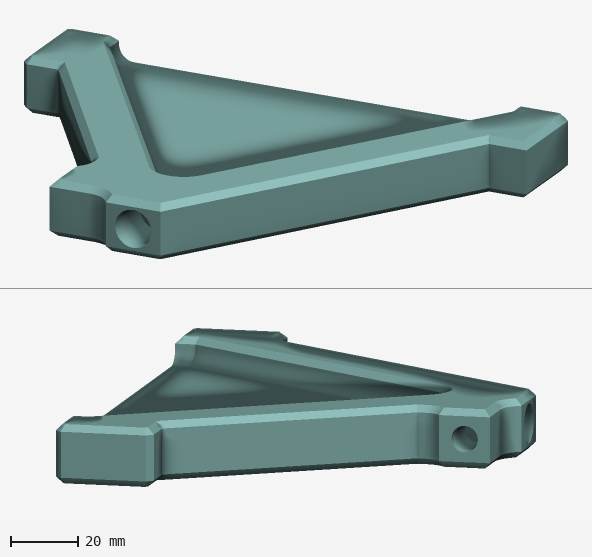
import cadquery as cq
import math

width = 168.0
length = 125.0
thickness = 18.0
edge_chamfer = 2.0

tab_length = 30.0
tab_shoulder = 12.5

foot_half_width = 9.0
foot_left_x = -30.0
foot_side_length = 15.6
foot_step = 4.5
front_notch_radius = 8.0
front_notch_lip = 1.0

neck_x = -27.2
side_notch_radius = 5.9

pocket_half_width = 66.2
pocket_straight = 6.2
pocket_apex_distance = 106.0
pocket_tip_radius = 8.4
pocket_floor_radius = 5.0
pocket_depth = 8.0

front_hole_diameter = 12.1
side_hole_diameter = 8.0
side_hole_y = -50.2
hole_depth = 16.8

left_x = -width / 2
right_x = width / 2
rear_y = length / 2
front_y = -length / 2
top_z = thickness / 2
tab_front_y = rear_y - tab_length
shoulder_x = right_x - tab_shoulder
arm_slope = (tab_front_y - front_y) / (shoulder_x - foot_half_width)
foot_step_y = front_y + foot_step
foot_top_y = foot_step_y + foot_side_length


def notch_arc_span(radius, depth):
    """Length of a tangent arc along its wall once it has moved sideways by depth."""
    return math.sqrt(radius**2 - (radius - depth) ** 2)


def arc_middle(start, end, center, radius):
    """Point halfway along the short arc from start to end."""
    dx = (start[0] + end[0]) / 2 - center[0]
    dy = (start[1] + end[1]) / 2 - center[1]
    scale = radius / math.hypot(dx, dy)
    return center[0] + dx * scale, center[1] + dy * scale


def make_plate():
    neck_top_y = tab_front_y - arm_slope * (neck_x + shoulder_x)

    side_span = notch_arc_span(side_notch_radius, neck_x - foot_left_x)
    side_start = (neck_x, foot_top_y + side_span)
    side_end = (foot_left_x, foot_top_y)
    side_center = (neck_x - side_notch_radius, side_start[1])
    side_middle = arc_middle(side_start, side_end, side_center, side_notch_radius)

    front_arc_drop = foot_step - front_notch_lip
    front_span = notch_arc_span(front_notch_radius, front_arc_drop)
    lip_run = front_notch_lip * (front_notch_radius - front_arc_drop) / front_span
    front_end = (-foot_half_width - lip_run, front_y + front_notch_lip)
    front_start = (front_end[0] - front_span, foot_step_y)
    front_center = (front_start[0], foot_step_y - front_notch_radius)
    front_middle = arc_middle(front_start, front_end, front_center, front_notch_radius)

    outline = (
        cq.Workplane("XY", origin=(0, 0, -top_z))
        .moveTo(left_x, rear_y)
        .lineTo(left_x, tab_front_y)
        .lineTo(-shoulder_x, tab_front_y)
        .lineTo(neck_x, neck_top_y)
        .lineTo(*side_start)
        .threePointArc(side_middle, side_end)
        .lineTo(foot_left_x, foot_step_y)
        .lineTo(*front_start)
        .threePointArc(front_middle, front_end)
        .lineTo(-foot_half_width, front_y)
        .lineTo(foot_half_width, front_y)
        .lineTo(shoulder_x, tab_front_y)
        .lineTo(right_x, tab_front_y)
        .lineTo(right_x, rear_y)
        .close()
    )
    plate = outline.extrude(thickness)

    plate = plate.faces("<X").edges("|Z").chamfer(edge_chamfer)
    return plate.edges("|Z and >Y and >X").chamfer(edge_chamfer)


def make_pocket():
    rear_end_y = rear_y + pocket_floor_radius
    bend_y = rear_y - pocket_straight
    pocket = (
        cq.Workplane("XY", origin=(0, 0, top_z - pocket_depth))
        .moveTo(-pocket_half_width, rear_end_y)
        .lineTo(-pocket_half_width, bend_y)
        .lineTo(0, rear_y - pocket_apex_distance)
        .lineTo(pocket_half_width, bend_y)
        .lineTo(pocket_half_width, rear_end_y)
        .close()
        .extrude(pocket_depth)
    )
    pocket = pocket.edges("|Z and <Y").fillet(pocket_tip_radius)
    return pocket.faces("<Z").edges("not >Y").fillet(pocket_floor_radius)


def drill_holes(body):
    front_hole = (
        cq.Workplane("XZ", origin=(0, front_y, 0))
        .circle(front_hole_diameter / 2)
        .extrude(-hole_depth)
    )
    side_hole = (
        cq.Workplane("YZ", origin=(foot_left_x, side_hole_y, 0))
        .circle(side_hole_diameter / 2)
        .extrude(hole_depth)
    )
    return body.cut(front_hole).cut(side_hole)


body = make_plate().cut(make_pocket())
body = body.faces(">Z or <Z").chamfer(edge_chamfer)
result = drill_holes(body)